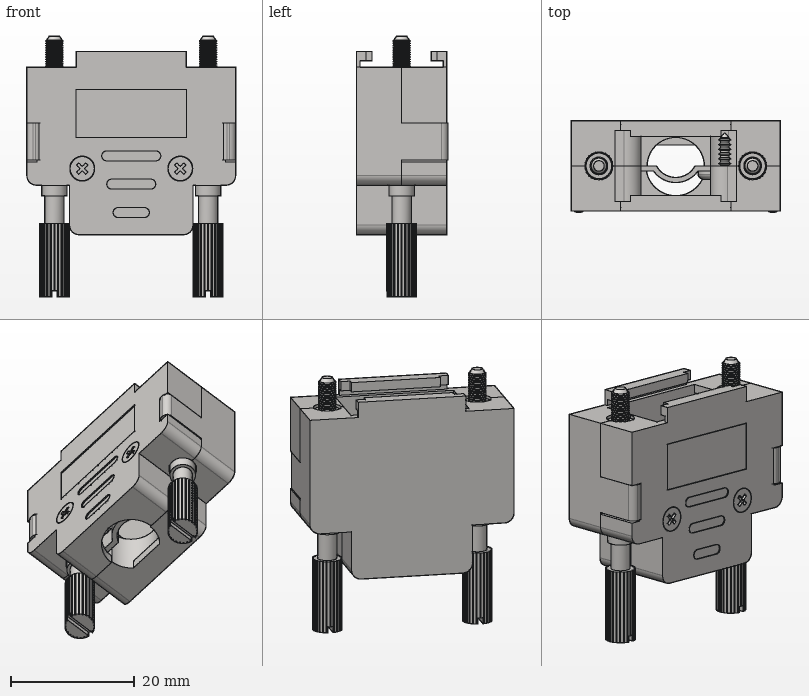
import cadquery as cq
import math

half_width = 16.89
half_depth = 7.3
shell_top = 27.1
shoulder_z = 8.0
throat_half_width = 10.0
corner_radius = 1.6

mouth_half_width = 9.78
mouth_half_depth = 5.75
top_plate_thickness = 1.46
flange_half_width = 8.9
flange_height = 2.55
flange_gap = 1.0
flange_wall = 0.6
lip_half_width = 7.35
lip_reach = 4.77

ledge_z = 13.0
side_wall = 1.3
front_floor_z = 2.0
back_lip_height = 2.0
back_lip_y = 3.34
front_cable_radius = 4.8
back_cable_radius = 4.6

case_screw_x = 7.92
case_screw_z = 10.7
boss_radius = 2.34
trough_radius = 3.4
trough_outer_x = 8.49
case_head_radius = 1.95
case_head_height = 1.2
head_clearance = 0.07
case_thread_radius = 0.98
case_root_radius = 0.7
case_thread_pitch = 0.78
case_ridge_width = 0.45
case_thread_length = 4.6
case_tip_y = 5.35
cross_length = 2.1
cross_width = 0.5
cross_depth = 0.6
case_hole_radius = 1.0

thumb_x = 12.42
thumb_bottom = -10.04
thumb_top = 32.1
knob_top = 1.85
knob_radius = 2.41
knurl_count = 24
knurl_depth = 0.15
knurl_width = 0.16
drive_slot_width = 0.84
drive_slot_depth = 1.0
neck_radius = 1.57
collar_radius = 2.07
collar_bottom = 6.3
collar_top = 26.7
thread_radius = 1.43
thread_root_radius = 1.25
thread_pitch = 0.383
thread_ridge_width = 0.3
thread_tip_radius = 0.85
thread_tip_height = 0.6
thumb_bore_radius = 2.24

latch_top = 18.1
latch_bottom = 12.07
notch_bottom = 11.8
latch_thickness = 1.69
bead_radius = 1.05
bead_flat = 0.34
bead_y = -6.46

face_recess_depth = 0.2
label_half_width = 8.9
label_bottom = 15.75
label_top = 23.45
grip_height = 1.6
grips = [(12.75, 9.55), (8.2, 7.93), (3.6, 5.85)]

clamp_half_length = 7.6
clamp_thickness = 0.86
clamp_bottom = 4.0
clamp_top = 8.0
arch_half_width = 3.1
arch_rise = 1.85
clamp_screw_x = 5.65
clamp_screw_z = (clamp_bottom + clamp_top) / 2
clamp_head_radius = 2.05
clamp_head_height = 1.3
clamp_head_rim = 0.55
clamp_shank_radius = 0.85
clamp_shank_length = 5.0

SIDES = (-1, 1)


def box(x0, x1, y0, y1, z0, z1):
    """Box between the given limits on each axis."""
    return cq.Workplane("XY").box(x1 - x0, y1 - y0, z1 - z0, centered=False).translate((x0, y0, z0))


def rod_y(x, z, radius, y0, y1):
    """Cylinder along Y from y0 to y1."""
    return cq.Workplane("XZ", origin=(0, y0, 0)).center(x, z).circle(radius).extrude(y0 - y1)


def rod_z(x, y, radius, z0, z1):
    """Cylinder along Z from z0 to z1."""
    return cq.Workplane("XY", origin=(x, y, z0)).circle(radius).extrude(z1 - z0)


def shell_blank(y0, y1):
    """T-shaped shell block with rounded lower corners."""
    body = box(-half_width, half_width, y0, y1, shoulder_z, shell_top)
    throat = box(-throat_half_width, throat_half_width, y0, y1, 0, shell_top)
    body = body.edges("|Y and <Z").fillet(corner_radius)
    throat = throat.edges("|Y and <Z").fillet(corner_radius)
    return body.union(throat)


def flange(side):
    """Wall and inward lip standing on the shell top at the front (-1) or back (+1)."""
    top = shell_top + flange_height
    under = shell_top + flange_gap
    outer = half_depth * side

    def bar(half, inner, z0):
        y0, y1 = sorted((inner * side, outer))
        return box(-half, half, y0, y1, z0, top)

    wall = bar(flange_half_width, half_depth - flange_wall, shell_top)
    shelf = bar(flange_half_width, mouth_half_depth, under)
    lip = bar(lip_half_width, lip_reach, under)
    return wall.union(shelf).union(lip)


def latch_arm(side):
    """Side arm ending in a rounded bead that hooks over the front shell."""
    outer_x = half_width - bead_radius
    inner_x = outer_x - bead_flat
    arc = bead_radius * math.sqrt(0.5)
    profile = (
        cq.Workplane("XY", origin=(0, 0, latch_bottom))
        .moveTo(half_width, 0)
        .lineTo(half_width, bead_y)
        .threePointArc((outer_x + arc, bead_y - arc), (outer_x, bead_y - bead_radius))
        .lineTo(inner_x, bead_y - bead_radius)
        .threePointArc((inner_x - arc, bead_y - arc), (inner_x - bead_radius, bead_y))
        .lineTo(half_width - latch_thickness, bead_y)
        .lineTo(half_width - latch_thickness, 0)
        .close()
    )
    arm = profile.extrude(latch_top - latch_bottom)
    return arm if side > 0 else arm.mirror("YZ")


def latch_notch(side):
    """Space in the front shell for a latch arm, with a small gap below the arm."""
    x0, x1 = sorted((side * (half_width - latch_thickness), side * half_width))
    return box(x0, x1, -half_depth, 0, notch_bottom, latch_top).union(latch_arm(side))


def thumb_bore(side):
    return rod_z(side * thumb_x, 0, thumb_bore_radius, shoulder_z, shell_top)


def front_shell():
    shell = shell_blank(-half_depth, 0).union(flange(-1))
    upper = box(-mouth_half_width, mouth_half_width, -mouth_half_depth, 0, ledge_z, shell_top)
    lower = box(-case_screw_x, case_screw_x, -mouth_half_depth, 0, front_floor_z, ledge_z)
    shell = shell.cut(upper).cut(lower)
    shell = shell.cut(rod_z(0, 0, front_cable_radius, 0, front_floor_z))
    for side in SIDES:
        x = side * case_screw_x
        head_radius = case_head_radius + head_clearance
        head_seat = case_head_height - half_depth
        shell = shell.union(rod_y(x, case_screw_z, boss_radius, -mouth_half_depth, 0))
        shell = shell.cut(rod_y(x, case_screw_z, case_hole_radius, -half_depth, 0))
        shell = shell.cut(rod_y(x, case_screw_z, head_radius, -half_depth, head_seat))
        shell = shell.cut(thumb_bore(side)).cut(latch_notch(side))
    return shell.cut(face_recesses())


def face_recesses():
    """Label field and three rounded grip slots, sunk into the front face."""
    y_floor = face_recess_depth - half_depth
    cuts = box(-label_half_width, label_half_width, -half_depth, y_floor, label_bottom, label_top)
    for z, length in grips:
        slot = (
            cq.Workplane("XZ", origin=(0, -half_depth, z))
            .slot2D(length, grip_height)
            .extrude(-face_recess_depth)
        )
        cuts = cuts.union(slot)
    return cuts


def back_shell():
    shell = shell_blank(0, half_depth).union(flange(1))
    inner_x = case_screw_x - boss_radius
    floor_z = case_screw_z - boss_radius
    hollow_x = half_width - side_wall
    plate_z = shell_top - top_plate_thickness
    shell = shell.cut(box(-mouth_half_width, mouth_half_width, 0, mouth_half_depth, ledge_z, shell_top))
    shell = shell.cut(box(-hollow_x, hollow_x, 0, mouth_half_depth, ledge_z, plate_z))
    shell = shell.cut(box(-inner_x, inner_x, 0, mouth_half_depth, floor_z, ledge_z))

    shell = shell.cut(box(-case_screw_x, -inner_x, 0, mouth_half_depth, case_screw_z, ledge_z))
    shell = shell.union(rod_y(-case_screw_x, case_screw_z, boss_radius, 0, mouth_half_depth))
    shell = shell.cut(rod_y(-case_screw_x, case_screw_z, case_hole_radius, 0, case_tip_y))

    trough = rod_y(case_screw_x, case_screw_z, trough_radius, 0, mouth_half_depth)
    trough_limit = box(inner_x, trough_outer_x, 0, mouth_half_depth, 0, shell_top)
    trough_offset = trough_outer_x - case_screw_x
    pocket_z = case_screw_z - math.sqrt(trough_radius**2 - trough_offset**2)
    pocket = box(trough_outer_x, mouth_half_width, 0, mouth_half_depth, pocket_z, ledge_z)
    shell = shell.cut(trough.intersect(trough_limit)).cut(pocket)

    channel = rod_z(0, 0, back_cable_radius, 0, floor_z)
    lip = box(-back_cable_radius, back_cable_radius, back_lip_y, half_depth, 0, back_lip_height)
    shell = shell.cut(channel.cut(lip))

    shell = shell.cut(rod_y(clamp_screw_x, clamp_screw_z, clamp_shank_radius, 0, clamp_shank_length))
    for side in SIDES:
        shell = shell.cut(thumb_bore(side)).union(latch_arm(side))
    return shell


def thread_profile(start, end, pitch, ridge_width, crest, root):
    """(radius, position) points of V-shaped ridges, with flats between them, from start to end."""
    count = round((end - start) / pitch)
    step = (end - start) / count
    points = [(root, start)]
    for turn in range(count):
        middle = start + (turn + 0.5) * step
        points.append((root, middle - ridge_width / 2))
        points.append((crest, middle))
        points.append((root, middle + ridge_width / 2))
    points.append((root, end))
    return points


def thumbscrew(side):
    tip_start = thumb_top - thread_tip_height
    thread = thread_profile(
        collar_top, tip_start, thread_pitch, thread_ridge_width, thread_radius, thread_root_radius
    )
    outline = [
        (0, thumb_bottom),
        (knob_radius, thumb_bottom),
        (knob_radius, knob_top),
        (neck_radius, knob_top),
        (neck_radius, collar_bottom),
        (collar_radius, collar_bottom),
        (collar_radius, collar_top),
        *thread,
        (thread_tip_radius, thumb_top),
        (0, thumb_top),
    ]
    screw = cq.Workplane("XZ").polyline(outline).close().revolve(360, (0, 0, 0), (0, 1, 0))
    knurls = (
        cq.Workplane("XY", origin=(0, 0, thumb_bottom))
        .polarArray(knob_radius, 0, 360, knurl_count)
        .rect(2 * knurl_depth, knurl_width)
        .extrude(knob_top - thumb_bottom)
    )
    half_slot = drive_slot_width / 2
    slot_top = thumb_bottom + drive_slot_depth
    slot = box(-half_slot, half_slot, -knob_radius, knob_radius, thumb_bottom, slot_top)
    return screw.cut(knurls).cut(slot).translate((side * thumb_x, 0, 0))


def case_screw(side):
    head_end = case_head_height - half_depth
    thread = thread_profile(
        0, case_thread_length, case_thread_pitch, case_ridge_width, case_thread_radius, case_root_radius
    )
    outline = [
        (0, -half_depth),
        (case_head_radius, -half_depth),
        (case_head_radius, head_end),
        (case_root_radius, head_end),
        *thread,
        (0, case_tip_y),
    ]
    screw = cq.Workplane("XY").polyline(outline).close().revolve(360, (0, 0, 0), (0, 1, 0))
    for angle in (45, 135):
        arm = (
            cq.Workplane("XZ", origin=(0, -half_depth, 0))
            .transformed(rotate=(0, 0, angle))
            .rect(cross_length, cross_width)
            .extrude(-cross_depth)
        )
        screw = screw.cut(arm)
    return screw.translate((side * case_screw_x, 0, case_screw_z))


def cable_clamp():
    """Flat strip with an arch in the middle that presses on the cable."""
    arch_radius = (arch_half_width**2 + arch_rise**2) / (2 * arch_rise)
    arch_y = arch_radius - arch_rise
    outer_radius = arch_radius + clamp_thickness
    height = clamp_top - clamp_bottom
    strip = box(-clamp_half_length, clamp_half_length, -clamp_thickness, 0, clamp_bottom, clamp_top)
    outer = cq.Workplane("XY", origin=(0, arch_y, clamp_bottom)).circle(outer_radius).extrude(height)
    inner = cq.Workplane("XY", origin=(0, arch_y, clamp_bottom)).circle(arch_radius).extrude(height)
    below = box(-outer_radius, outer_radius, -outer_radius, 0, clamp_bottom, clamp_top)
    clamp = strip.union(outer.intersect(below)).cut(inner)
    return clamp.cut(rod_y(clamp_screw_x, clamp_screw_z, clamp_shank_radius, -clamp_thickness, 0))


def clamp_screw():
    rim = clamp_thickness + clamp_head_rim
    crown = clamp_thickness + clamp_head_height
    crown_radius = clamp_head_radius / 2
    bulge = math.sqrt(0.5)
    dome_mid = (
        crown_radius + (clamp_head_radius - crown_radius) * bulge,
        -rim - (crown - rim) * bulge,
    )
    profile = (
        cq.Workplane("XY")
        .moveTo(0, -crown)
        .lineTo(crown_radius, -crown)
        .threePointArc(dome_mid, (clamp_head_radius, -rim))
        .lineTo(clamp_head_radius, -clamp_thickness)
        .lineTo(clamp_shank_radius, -clamp_thickness)
        .lineTo(clamp_shank_radius, clamp_shank_length)
        .lineTo(0, clamp_shank_length)
        .close()
    )
    screw = profile.revolve(360, (0, 0, 0), (0, 1, 0))
    return screw.translate((clamp_screw_x, 0, clamp_screw_z))


thumbscrews = [thumbscrew(side) for side in SIDES]
case_screws = [case_screw(side) for side in SIDES]

result = cq.Compound.makeCompound(
    [
        front_shell().val(),
        back_shell().val(),
        cable_clamp().val(),
        clamp_screw().val(),
        *[screw.val() for screw in thumbscrews],
        *[screw.val() for screw in case_screws],
    ]
)